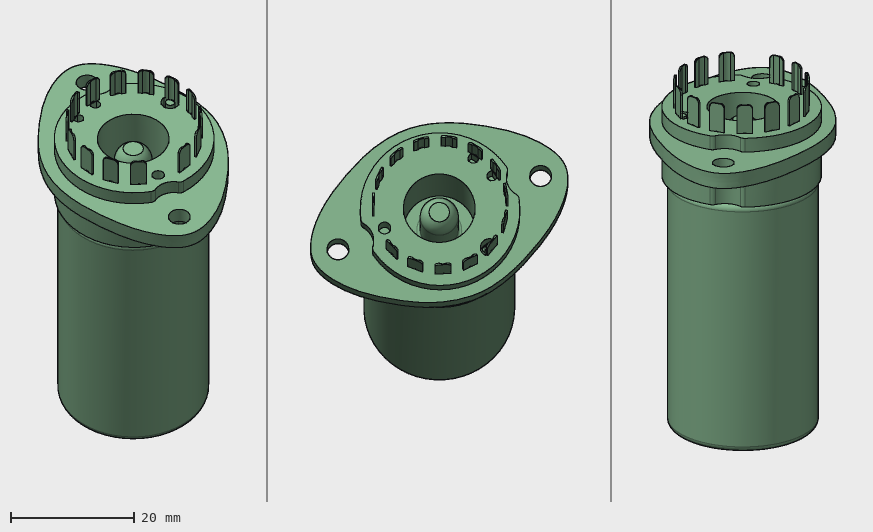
import cadquery as cq
import math

TOTAL_HEIGHT = 60.8
BLADE_HEIGHT = 5.0
SOCKET_TOP = TOTAL_HEIGHT - BLADE_HEIGHT
SOCKET_BOTTOM = 43.65
FLANGE_TOP = 53.4
FLANGE_THICKNESS = 2.7
FLANGE_BOTTOM = FLANGE_TOP - FLANGE_THICKNESS
TUBE_TOP = 43.5

TUBE_DIAMETER = 24.5
TUBE_EDGE_RADIUS = 1.0
TIP_DIAMETER = 6.2
TIP_FLAT_DIAMETER = 3.3
TIP_TOP = SOCKET_TOP - 2.2
TIP_FOOT_RADIUS = 0.55
PIN_DIAMETER = 1.0
PIN_TIP_RADIUS = 0.4 * PIN_DIAMETER
PIN_CIRCLE_RADIUS = 9.5

BARREL_DIAMETER = 25.9
BARREL_CENTER = (0.09, 0.2)
BORE_DIAMETER = 11.6
NOTCH_RADIUS = 3.35
NOTCH_CENTER_DISTANCE = 15.1
NOTCH_CORNER_RADIUS = 1.0

LONG_AXIS_ANGLE = -45.0
FLANGE_HALF_LENGTH = 21.95
FLANGE_HALF_WIDTH = 15.1
FLANGE_QUARTER_POINTS = [
    (0.0, FLANGE_HALF_WIDTH),
    (6.3, 13.9),
    (12.75, 10.75),
    (19.15, 5.7),
    (FLANGE_HALF_LENGTH, 0.0),
]
MOUNT_HOLE_DIAMETER = 3.5
MOUNT_HOLE_DISTANCE = 17.6

BLADE_COUNT = 14
BLADE_PITCH = 24.25
FIRST_BLADE_ANGLE = -21.7
BLADE_ANGLES = [FIRST_BLADE_ANGLE + i * BLADE_PITCH for i in range(BLADE_COUNT)]
BLADE_CENTER_RADIUS = 10.8
BLADE_WIDTH = 2.55
BLADE_THICKNESS = 0.3
BLADE_CORNER_RADIUS = 0.8
GROOVE_WIDTH = 1.15
GROOVE_DEPTH = 0.15
BLADE_INNER_RADIUS = BLADE_CENTER_RADIUS - BLADE_THICKNESS / 2

POCKET_DEPTH = 3.0
POCKET_FLOOR = SOCKET_TOP - POCKET_DEPTH
PIN_TOP = POCKET_FLOOR + PIN_DIAMETER / 2
SIGHT_HOLE_DIAMETER = 1.65
SIGHT_HOLE_RADIUS = 10.15
SIGHT_HOLE_BLADES = (7, 8)
RING_OUTER_DIAMETER = 3.0
RING_INNER_DIAMETER = 1.5
RING_RADIUS = 10.35
RING_BLADE = 4
KEY_HOLE_DIAMETER = 2.0
KEY_HOLE_DISTANCE = 9.5


def polar(radius, degrees):
    angle = math.radians(degrees)
    return (radius * math.cos(angle), radius * math.sin(angle))


def cylinder(diameter, bottom, top, center=(0, 0)):
    return cq.Workplane("XY", origin=(*center, bottom)).circle(diameter / 2).extrude(top - bottom)


def in_barrel_frame(shape):
    return shape.translate((*BARREL_CENTER, 0))


def contact_pins(top):
    """Round pins, one under each contact blade."""
    places = [polar(PIN_CIRCLE_RADIUS, angle) for angle in BLADE_ANGLES]
    pins = cq.Workplane("XY", origin=(0, 0, TUBE_TOP)).pushPoints(places)
    return in_barrel_frame(pins.circle(PIN_DIAMETER / 2).extrude(top - TUBE_TOP))


def seal_tip():
    """Domed tip with a flat top and a flared foot, turned about Z."""
    radius = TIP_DIAMETER / 2
    flat = TIP_FLAT_DIAMETER / 2
    dome_rise = math.sqrt(radius**2 - flat**2)
    dome_base = TIP_TOP - dome_rise
    middle = (radius + flat) / 2
    dome_middle = (middle, dome_base + math.sqrt(radius**2 - middle**2))
    foot_offset = TIP_FOOT_RADIUS * (1 - math.sqrt(0.5))
    profile = (
        cq.Workplane("XZ")
        .moveTo(0, TUBE_TOP)
        .lineTo(radius + TIP_FOOT_RADIUS, TUBE_TOP)
        .threePointArc((radius + foot_offset, TUBE_TOP + foot_offset), (radius, TUBE_TOP + TIP_FOOT_RADIUS))
        .lineTo(radius, dome_base)
        .threePointArc(dome_middle, (flat, TIP_TOP))
        .lineTo(0, TIP_TOP)
        .close()
    )
    return profile.revolve(360, (0, 0, 0), (0, 1, 0))


def make_tube():
    glass = cylinder(TUBE_DIAMETER, 0, TUBE_TOP).edges().fillet(TUBE_EDGE_RADIUS)
    pins = contact_pins(PIN_TOP).faces(">Z").edges().fillet(PIN_TIP_RADIUS)
    return glass.union(seal_tip()).union(pins)


def notched_barrel():
    """Cylinder with a round notch beside each mounting hole."""
    barrel = cylinder(BARREL_DIAMETER, SOCKET_BOTTOM, SOCKET_TOP)
    for side in (1, -1):
        center = polar(side * NOTCH_CENTER_DISTANCE, LONG_AXIS_ANGLE)
        barrel = barrel.cut(cylinder(2 * NOTCH_RADIUS, SOCKET_BOTTOM, SOCKET_TOP, center))
    return in_barrel_frame(barrel.edges("|Z").fillet(NOTCH_CORNER_RADIUS))


def flange():
    """Smooth closed curve, mirrored from one quarter, with a mounting hole near each end."""
    upper_right = FLANGE_QUARTER_POINTS
    lower_right = [(u, -v) for u, v in reversed(upper_right[:-1])]
    right_half = upper_right + lower_right
    left_half = [(-u, -v) for u, v in right_half[1:-1]]
    outline = cq.Workplane("XY", origin=(0, 0, FLANGE_BOTTOM))
    outline = outline.spline(right_half + left_half, periodic=True).close()
    plate = outline.extrude(FLANGE_THICKNESS)
    for end in (1, -1):
        center = (end * MOUNT_HOLE_DISTANCE, 0)
        plate = plate.cut(cylinder(MOUNT_HOLE_DIAMETER, FLANGE_BOTTOM, FLANGE_TOP, center))
    return plate.rotate((0, 0, 0), (0, 0, 1), LONG_AXIS_ANGLE)


def blade(angle):
    """Upright strip with rounded top corners and a shallow round groove on its inner face."""
    strip = (
        cq.Workplane("XY", origin=(BLADE_CENTER_RADIUS, 0, SOCKET_TOP))
        .rect(BLADE_THICKNESS, BLADE_WIDTH)
        .extrude(BLADE_HEIGHT)
        .edges("|X and >Z")
        .fillet(BLADE_CORNER_RADIUS)
    )
    groove_radius = (GROOVE_WIDTH**2 / 4 + GROOVE_DEPTH**2) / (2 * GROOVE_DEPTH)
    groove_center = (BLADE_INNER_RADIUS + GROOVE_DEPTH - groove_radius, 0)
    groove = cylinder(2 * groove_radius, SOCKET_TOP, TOTAL_HEIGHT, groove_center)
    return in_barrel_frame(strip.cut(groove).rotate((0, 0, 0), (0, 0, 1), angle))


def blade_pocket(pocket, angle):
    """Keeps the part of a pocket on the inner side of a blade and turns it to that blade."""
    inner_side = (
        cq.Workplane("XY", origin=(0, 0, POCKET_FLOOR))
        .rect(2 * BLADE_INNER_RADIUS, 2 * BLADE_WIDTH)
        .extrude(POCKET_DEPTH)
    )
    return in_barrel_frame(pocket.intersect(inner_side).rotate((0, 0, 0), (0, 0, 1), angle))


def sight_pocket():
    return cylinder(SIGHT_HOLE_DIAMETER, POCKET_FLOOR, SOCKET_TOP, (SIGHT_HOLE_RADIUS, 0))


def ring_pocket():
    outer = cylinder(RING_OUTER_DIAMETER, POCKET_FLOOR, SOCKET_TOP, (RING_RADIUS, 0))
    post = cylinder(RING_INNER_DIAMETER, POCKET_FLOOR, SOCKET_TOP, (RING_RADIUS, 0))
    return outer.cut(post)


def make_socket():
    body = notched_barrel().union(flange())
    body = body.cut(cylinder(BORE_DIAMETER, SOCKET_BOTTOM, SOCKET_TOP))
    body = body.cut(contact_pins(PIN_TOP))
    for index in SIGHT_HOLE_BLADES:
        body = body.cut(blade_pocket(sight_pocket(), BLADE_ANGLES[index]))
    body = body.cut(blade_pocket(ring_pocket(), BLADE_ANGLES[RING_BLADE]))
    key_center = polar(KEY_HOLE_DISTANCE, LONG_AXIS_ANGLE)
    body = body.cut(cylinder(KEY_HOLE_DIAMETER, POCKET_FLOOR, SOCKET_TOP, key_center))
    for angle in BLADE_ANGLES:
        body = body.union(blade(angle))
    return body


tube = make_tube()
socket = make_socket()
result = cq.Compound.makeCompound([tube.solids().val(), socket.solids().val()])